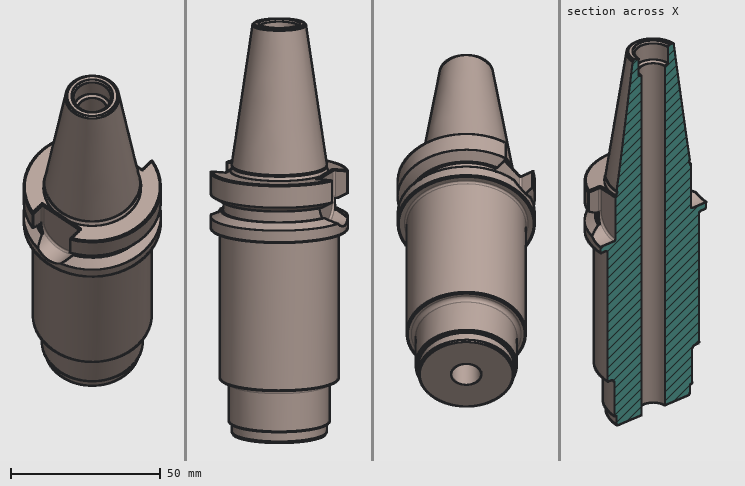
import cadquery as cq

TOTAL_LENGTH = 140.3
GAUGE_Z = 91.9
FLANGE_TOP_Z = 90.0
UPPER_RIM_BOTTOM_Z = 82.2
GROOVE_TOP_Z = 80.1
GROOVE_BOTTOM_Z = 76.3
LOWER_RIM_TOP_Z = 74.4
FLANGE_BOTTOM_Z = 70.0
BODY_BOTTOM_Z = 18.7
SPIGOT_BOTTOM_Z = 3.9

GAUGE_RADIUS = 32.0 / 2
TAPER_RATIO = 7 / 48
FLANGE_RADIUS = 46.0 / 2
GROOVE_RADIUS = 37.6 / 2
GROOVE_FLANK_RADIUS = 19.5
BODY_RADIUS = 40.0 / 2
SPIGOT_RADIUS = 34.0 / 2
NOSE_RADIUS = 32.0 / 2
RELIEF_RADIUS = 15.6
RELIEF_FOOT_RADIUS = 16.4
THROUGH_RADIUS = 10.1 / 2
COUNTERBORE_RADIUS = 12.5 / 2

EDGE_CHAMFER = 0.4
NOSE_CHAMFER = 0.7
RIM_CHAMFER = 0.5
BORE_CHAMFER = 0.7
RELIEF_DROP = 0.7
BODY_TOP_FILLET = 0.7
SPIGOT_FILLET = 1.4

COUNTERBORE_DEPTH = 7.0
BORE_STEP_HEIGHT = 0.7

SLOT_HALF_WIDTH = 16.1 / 2
SLOT_BOTTOM_Z = 72.7
SLOT_FLOOR_Y = 16.4
SLOT_FLOOR_FILLET = 0.7
SLOT_MOUTH_CHAMFER = 0.4


def turned_body():
    """Revolved outside: nose, spigot, body, grooved flange and taper."""
    end_radius = GAUGE_RADIUS - TAPER_RATIO * (TOTAL_LENGTH - GAUGE_Z)
    relief_z = GAUGE_Z - RELIEF_DROP
    profile = (
        cq.Workplane("XZ")
        .moveTo(0, 0)
        .lineTo(NOSE_RADIUS - EDGE_CHAMFER, 0)
        .lineTo(NOSE_RADIUS, NOSE_CHAMFER)
        .lineTo(NOSE_RADIUS, SPIGOT_BOTTOM_Z)
        .lineTo(SPIGOT_RADIUS - EDGE_CHAMFER, SPIGOT_BOTTOM_Z)
        .lineTo(SPIGOT_RADIUS, SPIGOT_BOTTOM_Z + EDGE_CHAMFER)
        .lineTo(SPIGOT_RADIUS, BODY_BOTTOM_Z - SPIGOT_FILLET)
        .radiusArc((SPIGOT_RADIUS + SPIGOT_FILLET, BODY_BOTTOM_Z), SPIGOT_FILLET)
        .lineTo(BODY_RADIUS - EDGE_CHAMFER, BODY_BOTTOM_Z)
        .lineTo(BODY_RADIUS, BODY_BOTTOM_Z + EDGE_CHAMFER)
        .lineTo(BODY_RADIUS, FLANGE_BOTTOM_Z - BODY_TOP_FILLET)
        .radiusArc((BODY_RADIUS + BODY_TOP_FILLET, FLANGE_BOTTOM_Z), BODY_TOP_FILLET)
        .lineTo(FLANGE_RADIUS - EDGE_CHAMFER, FLANGE_BOTTOM_Z)
        .lineTo(FLANGE_RADIUS, FLANGE_BOTTOM_Z + EDGE_CHAMFER)
        .lineTo(FLANGE_RADIUS, LOWER_RIM_TOP_Z)
        .lineTo(GROOVE_FLANK_RADIUS, GROOVE_BOTTOM_Z)
        .lineTo(GROOVE_RADIUS, GROOVE_BOTTOM_Z)
        .lineTo(GROOVE_RADIUS, GROOVE_TOP_Z)
        .lineTo(GROOVE_FLANK_RADIUS, GROOVE_TOP_Z)
        .lineTo(FLANGE_RADIUS, UPPER_RIM_BOTTOM_Z)
        .lineTo(FLANGE_RADIUS, FLANGE_TOP_Z - EDGE_CHAMFER)
        .lineTo(FLANGE_RADIUS - EDGE_CHAMFER, FLANGE_TOP_Z)
        .lineTo(RELIEF_FOOT_RADIUS, FLANGE_TOP_Z)
        .lineTo(RELIEF_RADIUS, relief_z)
        .lineTo(GAUGE_RADIUS, GAUGE_Z)
        .lineTo(end_radius + TAPER_RATIO * RIM_CHAMFER, TOTAL_LENGTH - RIM_CHAMFER)
        .lineTo(end_radius - RIM_CHAMFER, TOTAL_LENGTH)
        .lineTo(0, TOTAL_LENGTH)
        .close()
    )
    return profile.revolve(360, (0, 0, 0), (0, 1, 0))


def stepped_bore():
    """Through hole with a chamfered counterbore at the small end of the taper."""
    through = cq.Workplane("XY").circle(THROUGH_RADIUS).extrude(TOTAL_LENGTH)
    counterbore = (
        cq.Workplane("XY", origin=(0, 0, TOTAL_LENGTH))
        .circle(COUNTERBORE_RADIUS)
        .extrude(-COUNTERBORE_DEPTH)
    )
    countersink = cq.Workplane("XY").add(
        cq.Solid.makeCone(
            COUNTERBORE_RADIUS,
            COUNTERBORE_RADIUS + BORE_CHAMFER,
            BORE_CHAMFER,
            pnt=cq.Vector(0, 0, TOTAL_LENGTH - BORE_CHAMFER),
        )
    )
    step = cq.Workplane("XY").add(
        cq.Solid.makeCone(
            THROUGH_RADIUS,
            COUNTERBORE_RADIUS,
            BORE_STEP_HEIGHT,
            pnt=cq.Vector(0, 0, TOTAL_LENGTH - COUNTERBORE_DEPTH - BORE_STEP_HEIGHT),
        )
    )
    return through.union(counterbore).union(countersink).union(step)


def drive_slot():
    """Cutter for the -Y slot: round bottom, filleted floor, bevelled mouth and top rim."""
    arc_center_z = SLOT_BOTTOM_Z + SLOT_HALF_WIDTH
    cutter = (
        cq.Workplane("XZ", origin=(0, -SLOT_FLOOR_Y, 0))
        .moveTo(-SLOT_HALF_WIDTH, TOTAL_LENGTH)
        .lineTo(-SLOT_HALF_WIDTH, arc_center_z)
        .threePointArc((0, SLOT_BOTTOM_Z), (SLOT_HALF_WIDTH, arc_center_z))
        .lineTo(SLOT_HALF_WIDTH, TOTAL_LENGTH)
        .close()
        .extrude(FLANGE_RADIUS)
    )
    cutter = cutter.faces(">Y").edges("not >Z").fillet(SLOT_FLOOR_FILLET)
    mouth_y = (FLANGE_RADIUS**2 - SLOT_HALF_WIDTH**2) ** 0.5
    mouth = (
        cq.Workplane("XY", origin=(0, 0, UPPER_RIM_BOTTOM_Z))
        .moveTo(-SLOT_HALF_WIDTH, SLOT_MOUTH_CHAMFER - mouth_y)
        .lineTo(SLOT_HALF_WIDTH, SLOT_MOUTH_CHAMFER - mouth_y)
        .lineTo(SLOT_HALF_WIDTH + SLOT_MOUTH_CHAMFER, -mouth_y - SLOT_MOUTH_CHAMFER)
        .lineTo(-SLOT_HALF_WIDTH - SLOT_MOUTH_CHAMFER, -mouth_y - SLOT_MOUTH_CHAMFER)
        .close()
        .extrude(FLANGE_TOP_Z - UPPER_RIM_BOTTOM_Z)
    )
    rim_length = FLANGE_RADIUS
    rim_center_y = SLOT_MOUTH_CHAMFER - SLOT_FLOOR_Y - rim_length / 2
    rim = (
        cq.Workplane("XY", origin=(0, rim_center_y, FLANGE_TOP_Z))
        .rect(2 * (SLOT_HALF_WIDTH + SLOT_MOUTH_CHAMFER), rim_length)
        .extrude(-SLOT_MOUTH_CHAMFER, taper=45)
    )
    return cutter.union(mouth).union(rim)


slot = drive_slot()
opposite_slot = slot.rotate((0, 0, 0), (0, 0, 1), 180)
result = turned_body().cut(stepped_bore()).cut(slot).cut(opposite_slot)